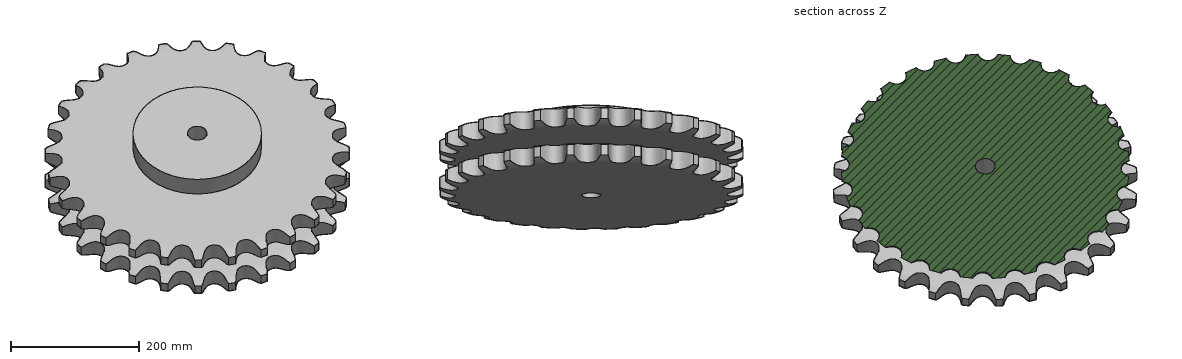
import cadquery as cq
import math

TEETH = 28
CHAIN_PITCH = 50.8
ROLLER_DIAMETER = 29.21
STRAND_SPACING = 58.6
STRANDS = 2

TIP_RADIUS = 237.1
PLATE_THICKNESS = 28.75
HUB_DIAMETER = 200.0
BORE_DIAMETER = 30.0
BORE_RADIUS = BORE_DIAMETER / 2
HEIGHT = 120.0

Z_AXIS = ((0, 0, 0), (0, 0, 1))

PITCH_ANGLE = 360 / TEETH
PITCH_RADIUS = CHAIN_PITCH / (2 * math.sin(math.radians(PITCH_ANGLE / 2)))
SEAT_CLEARANCE = 0.038
SEAT_RADIUS = 0.5025 * ROLLER_DIAMETER + SEAT_CLEARANCE
SEAT_HALF_ANGLE = math.radians(55 - 60 / TEETH)
WORKING_RADIUS = 1.3025 * ROLLER_DIAMETER + SEAT_CLEARANCE
WORKING_ANGLE = math.radians(18 - 56 / TEETH)
TOPPING_ANGLE = math.radians(17 - 64 / TEETH)
WORKING_OFFSET = 0.8 * ROLLER_DIAMETER
TOPPING_OFFSET = 1.4 * ROLLER_DIAMETER
STRAIGHT_LENGTH = TOPPING_OFFSET * math.sin(TOPPING_ANGLE) - WORKING_OFFSET * math.sin(WORKING_ANGLE)
TOPPING_RADIUS = (
    WORKING_OFFSET * math.cos(WORKING_ANGLE)
    + TOPPING_OFFSET * math.cos(TOPPING_ANGLE)
    - WORKING_RADIUS
)
TIP_MARGIN = 0.5

SIDE_RADIUS = CHAIN_PITCH
SIDE_START_RADIUS = 213.1


def arc_point(start, radius, start_slope, end_slope):
    """Point reached from start along an arc whose slope angle changes from start to end slope.

    A positive radius bends up and into the gap, a negative one bends outward over the tooth.
    """
    return (
        start[0] + radius * (math.sin(end_slope) - math.sin(start_slope)),
        start[1] + radius * (math.cos(start_slope) - math.cos(end_slope)),
    )


def mirrored(point):
    """Matching point on the left flank."""
    return (-point[0], point[1])


def make_gap_cutter():
    """Prism that removes one tooth gap, centred on +Y."""
    bottom = (0, PITCH_RADIUS - SEAT_RADIUS)
    flank_slope = SEAT_HALF_ANGLE + WORKING_ANGLE
    middle_slope = SEAT_HALF_ANGLE + WORKING_ANGLE / 2
    seat_end = arc_point(bottom, SEAT_RADIUS, 0, SEAT_HALF_ANGLE)
    working_middle = arc_point(seat_end, WORKING_RADIUS, SEAT_HALF_ANGLE, middle_slope)
    working_end = arc_point(seat_end, WORKING_RADIUS, SEAT_HALF_ANGLE, flank_slope)
    straight_end = (
        working_end[0] + STRAIGHT_LENGTH * math.cos(flank_slope),
        working_end[1] + STRAIGHT_LENGTH * math.sin(flank_slope),
    )

    topping_rise = TIP_RADIUS + TIP_MARGIN - straight_end[1]
    top_slope = math.acos(math.cos(flank_slope) + topping_rise / TOPPING_RADIUS)
    topping_middle = arc_point(
        straight_end, -TOPPING_RADIUS, flank_slope, (flank_slope + top_slope) / 2
    )
    topping_end = arc_point(straight_end, -TOPPING_RADIUS, flank_slope, top_slope)

    return (
        cq.Workplane("XY")
        .moveTo(*mirrored(topping_end))
        .threePointArc(mirrored(topping_middle), mirrored(straight_end))
        .lineTo(*mirrored(working_end))
        .threePointArc(mirrored(working_middle), mirrored(seat_end))
        .threePointArc(bottom, seat_end)
        .threePointArc(working_middle, working_end)
        .lineTo(*straight_end)
        .threePointArc(topping_middle, topping_end)
        .close()
        .extrude(PLATE_THICKNESS)
    )


def side_drop(radius):
    """Depth of the tooth-side rounding below the plate face at a given radius."""
    reach = radius - SIDE_START_RADIUS
    return SIDE_RADIUS - math.sqrt(SIDE_RADIUS**2 - reach**2)


def make_blank_sector():
    """One tooth pitch of the toothless plate, centred on +Y, with both faces rounded at the rim."""
    middle_radius = (SIDE_START_RADIUS + TIP_RADIUS) / 2
    middle_drop = side_drop(middle_radius)
    tip_drop = side_drop(TIP_RADIUS)
    return (
        cq.Workplane("XZ")
        .moveTo(BORE_RADIUS, 0)
        .lineTo(SIDE_START_RADIUS, 0)
        .threePointArc((middle_radius, middle_drop), (TIP_RADIUS, tip_drop))
        .lineTo(TIP_RADIUS, PLATE_THICKNESS - tip_drop)
        .threePointArc(
            (middle_radius, PLATE_THICKNESS - middle_drop),
            (SIDE_START_RADIUS, PLATE_THICKNESS),
        )
        .lineTo(BORE_RADIUS, PLATE_THICKNESS)
        .close()
        .revolve(PITCH_ANGLE, (0, 0, 0), (0, 1, 0))
        .rotate(*Z_AXIS, 90 - PITCH_ANGLE / 2)
    )


def make_toothed_plate():
    """Ring of identical sectors, each reaching from one tooth middle to the next."""
    sector = make_blank_sector().cut(make_gap_cutter()).val()
    copies = [sector.rotate(*Z_AXIS, index * PITCH_ANGLE) for index in range(1, TEETH)]
    return cq.Workplane(sector.fuse(*copies)).clean()


def make_sprocket():
    """Full-height hub carrying the toothed plates, the lowest flush with its bottom, and bored."""
    sprocket = cq.Workplane("XY").circle(HUB_DIAMETER / 2).extrude(HEIGHT)
    plate = make_toothed_plate()
    for strand in range(STRANDS):
        sprocket = sprocket.union(plate.translate((0, 0, strand * STRAND_SPACING)))
    bore = cq.Workplane("XY").circle(BORE_RADIUS).extrude(HEIGHT)
    return sprocket.cut(bore)


result = make_sprocket()